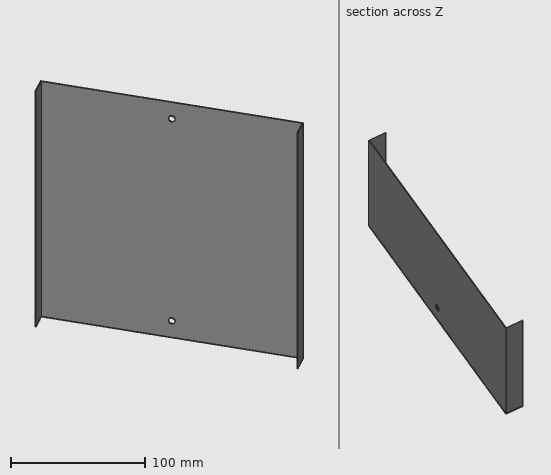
import cadquery as cq

width = 203.7
depth = 14.7
height = 210.0

thickness = 0.8

hole_diameter = 5.0
hole_edge_distance = 15.0
hole_spacing = height - 2 * hole_edge_distance


def make_channel():
    """U-shaped sheet: a web at the +Y side with two flanges toward -Y."""
    outer = cq.Workplane("XY").box(width, depth, height)
    inner = (
        cq.Workplane("XY")
        .box(width - 2 * thickness, depth, height)
        .translate((0, -thickness, 0))
    )
    return outer.cut(inner)


def make_hole_cutters():
    """Cylinders along Y that pass through the web near its top and bottom."""
    return (
        cq.Workplane("XZ")
        .rarray(2, hole_spacing, 1, 2)
        .circle(hole_diameter / 2)
        .extrude(depth, both=True)
    )


result = make_channel().cut(make_hole_cutters())